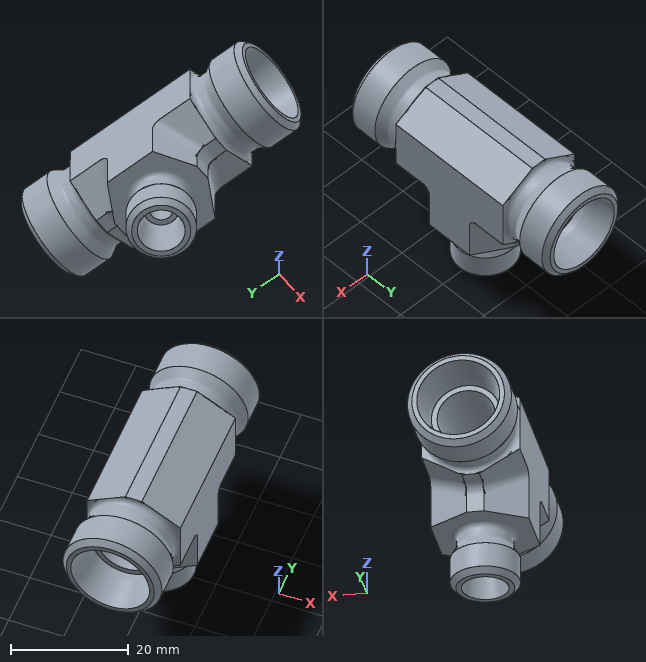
import cadquery as cq
import math

ACROSS_FLATS = 17.0
TRIM_FLAT_WIDTH = 3.0
ARM_SHOULDER = 13.0
LEG_SHOULDER = 14.0
CROTCH_RADIUS = 2.0

END_REACH = 24.0
SOCKET_DEPTH = 7.0
SOCKET_TAPER = math.radians(12)
END_CHAMFER = 1.0
RUNOUT_ANGLE = math.radians(30)
NECK_RADIUS = 1.0

ARM_END = dict(
    shoulder=ARM_SHOULDER,
    thread_diameter=18.0,
    thread_length=6.4,
    neck_diameter=15.7,
    mouth_diameter=14.3,
    tube_diameter=12.0,
    bore_diameter=10.0,
)
LEG_END = dict(
    shoulder=LEG_SHOULDER,
    thread_diameter=12.0,
    thread_length=5.5,
    neck_diameter=9.7,
    mouth_diameter=8.1,
    tube_diameter=6.0,
    bore_diameter=4.0,
)

FULL_TURN = 360
HALF_FLATS = ACROSS_FLATS / 2
HALF_TRIM = TRIM_FLAT_WIDTH / 2
HEXAGON_SLOPE = math.tan(math.radians(30))
CORNER_HEIGHT = HALF_FLATS * HEXAGON_SLOPE
TRIM_HEIGHT = CORNER_HEIGHT + (HALF_FLATS - HALF_TRIM) * HEXAGON_SLOPE


def trimmed_hexagon(plane):
    """Hexagon with flats at +X and -X; its two points are cut to narrow flats."""
    return cq.Workplane(plane).polyline([
        (HALF_FLATS, -CORNER_HEIGHT),
        (HALF_FLATS, CORNER_HEIGHT),
        (HALF_TRIM, TRIM_HEIGHT),
        (-HALF_TRIM, TRIM_HEIGHT),
        (-HALF_FLATS, CORNER_HEIGHT),
        (-HALF_FLATS, -CORNER_HEIGHT),
        (-HALF_TRIM, -TRIM_HEIGHT),
        (HALF_TRIM, -TRIM_HEIGHT),
    ]).close()


def crotch_edges(body):
    """Inside edges where the leg leaves the arms, lying on the planes z = -|y|."""
    tolerance = 1e-4
    return body.edges().filter(
        lambda edge: all(
            vertex.Z < -tolerance and abs(vertex.Z + abs(vertex.Y)) < tolerance
            for vertex in edge.Vertices()
        )
    )


def make_body():
    arms = trimmed_hexagon("XZ").extrude(ARM_SHOULDER, both=True)
    leg = trimmed_hexagon("XY").extrude(-LEG_SHOULDER)
    return crotch_edges(arms.union(leg)).fillet(CROTCH_RADIUS)


def spigot(end):
    """Solid threaded end along +Z with an undercut neck and a flare at the shoulder."""
    shoulder = end["shoulder"]
    thread_radius = end["thread_diameter"] / 2
    neck_radius = end["neck_diameter"] / 2
    thread_start = END_REACH - end["thread_length"]
    neck_end = thread_start - (thread_radius - neck_radius) / math.tan(RUNOUT_ANGLE)

    tangent = NECK_RADIUS * math.tan(RUNOUT_ANGLE / 2)
    blend_start = (neck_radius, neck_end - tangent)
    blend_centre = (neck_radius + NECK_RADIUS, blend_start[1])
    half_runout = RUNOUT_ANGLE / 2
    blend_middle = (
        blend_centre[0] - NECK_RADIUS * math.cos(half_runout),
        blend_centre[1] + NECK_RADIUS * math.sin(half_runout),
    )
    blend_end = (
        blend_centre[0] - NECK_RADIUS * math.cos(RUNOUT_ANGLE),
        blend_centre[1] + NECK_RADIUS * math.sin(RUNOUT_ANGLE),
    )

    flare_radius = neck_radius + NECK_RADIUS
    flare_end = shoulder + NECK_RADIUS
    flare_middle = NECK_RADIUS * (1 - math.cos(math.radians(45)))

    profile = (
        cq.Workplane("XZ")
        .lineTo(flare_radius, 0)
        .lineTo(flare_radius, shoulder)
        .threePointArc(
            (neck_radius + flare_middle, shoulder + flare_middle),
            (neck_radius, flare_end),
        )
        .lineTo(*blend_start)
        .threePointArc(blend_middle, blend_end)
        .lineTo(thread_radius, thread_start)
        .lineTo(thread_radius, END_REACH - END_CHAMFER)
        .lineTo(thread_radius - END_CHAMFER, END_REACH)
        .lineTo(0, END_REACH)
        .close()
    )
    turned = profile.revolve(FULL_TURN, (0, 0, 0), (0, 1, 0))

    flare_limit = trimmed_hexagon("XY").extrude(flare_end)
    thread_zone = (
        cq.Workplane("XY", origin=(0, 0, flare_end))
        .circle(thread_radius)
        .extrude(END_REACH - flare_end)
    )
    return turned.intersect(flare_limit.union(thread_zone))


def passage(end):
    """Bore along +Z from the body centre, with a tube socket and a sealing cone."""
    mouth_radius = end["mouth_diameter"] / 2
    tube_radius = end["tube_diameter"] / 2
    bore_radius = end["bore_diameter"] / 2
    cone_depth = (mouth_radius - tube_radius) / math.tan(SOCKET_TAPER)
    return (
        cq.Workplane("XZ")
        .polyline([
            (0, 0),
            (bore_radius, 0),
            (bore_radius, END_REACH - SOCKET_DEPTH),
            (tube_radius, END_REACH - SOCKET_DEPTH),
            (tube_radius, END_REACH - cone_depth),
            (mouth_radius, END_REACH),
            (0, END_REACH),
        ])
        .close()
        .revolve(FULL_TURN, (0, 0, 0), (0, 1, 0))
    )


PORTS = [(ARM_END, 90), (ARM_END, -90), (LEG_END, 180)]


def aim(feature, turn):
    return feature.rotate((0, 0, 0), (1, 0, 0), turn)


result = make_body()
for end, turn in PORTS:
    result = result.union(aim(spigot(end), turn))
for end, turn in PORTS:
    result = result.cut(aim(passage(end), turn))